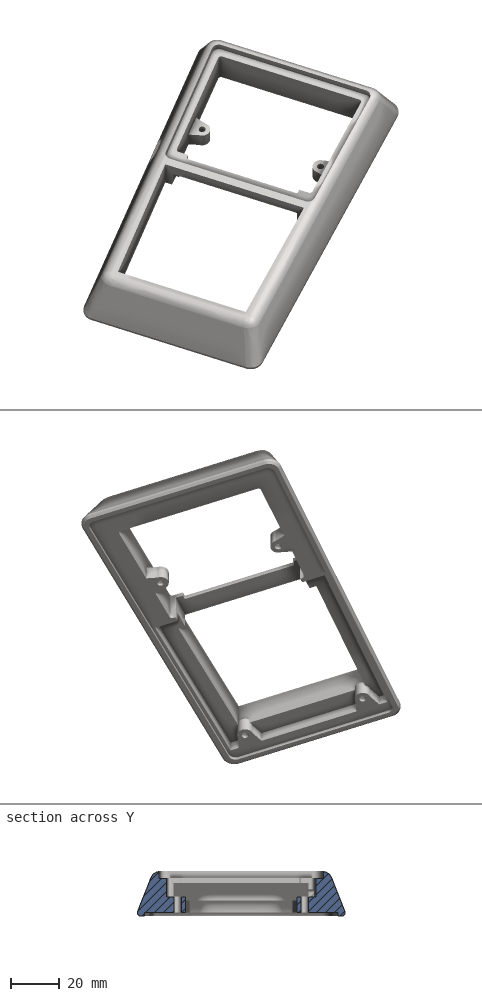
import cadquery as cq

LENGTH = 149.5
HEIGHT = 18.5
HALF_LENGTH = LENGTH / 2
BASE_BACK_HALF_WIDTH = 44.2
BASE_FRONT_HALF_WIDTH = 39.2
LIP_HEIGHT = 2.0
BASE_CHAMFER = 0.9
BASE_CORNER_RADIUS = 5.2

TOP_BACK = 67.5
TOP_FRONT = -65.2
TOP_BACK_HALF_WIDTH = 37.2
TOP_FRONT_HALF_WIDTH = 33.6
TOP_CORNER_RADIUS = 4.5
RIM_RADIUS = 4.5

RECESS_DEPTH = 3.0
RECESS_BACK = 64.7
RECESS_FRONT = 2.2
RECESS_BACK_HALF_WIDTH = 35.0
RECESS_FRONT_HALF_WIDTH = 32.7
RECESS_CORNER_RADIUS = 3.0
WINDOW_BACK = 61.5
WINDOW_FRONT = 9.0
WINDOW_BACK_HALF_WIDTH = 31.5
WINDOW_FRONT_HALF_WIDTH = 29.9
WINDOW_CORNER_RADIUS = 1.2
STEP_HALF_WIDTH = 24.5
STEP_FRONT = 6.9
STEP_CORNER_RADIUS = 0.7

FRONT_WINDOW_BACK = -1.2
FRONT_WINDOW_FRONT = -60.1
FRONT_WINDOW_BACK_HALF_WIDTH = 30.6
FRONT_WINDOW_FRONT_HALF_WIDTH = 28.2

COVER_DEPTH = 1.5
COVER_INSET = 3.0
COVER_CORNER_RADIUS = 3.0
CAVITY_ROOF = 6.3
CAVITY_FRONT = -67.3
CAVITY_BACK_HALF_WIDTH = 37.7
CAVITY_FRONT_HALF_WIDTH = 34.8
PASSAGE_HALF_WIDTH = 27.7
PASSAGE_ROOF = 13.6
PASSAGE_BACK = 10.2

LUG_X = 26.2
BACK_LUG_Y = 28.7
FRONT_LUG_Y = -61.9
LUG_RADIUS = 3.3
LUG_HOLE_DIAMETER = 2.8
LUG_TOP = 8.0
LUG_ROOT_HALF_WIDTH = 5.4
BACK_LUG_REACH = 6.7
FRONT_LUG_REACH = 6.3

SLOT_BACK = 20.5
SLOT_FRONT = 7.5
SLOT_BOTTOM = 3.3
SLOT_TOP = 10.9
SLOT_CORNER_RADIUS = 1.3
SLOT_END_X = -32.1
WIRE_HOLE_BACK = 12.0
WIRE_HOLE_BOTTOM = 8.0
WIRE_HOLE_END_X = -26.9


def trapezoid(front, back, front_half_width, back_half_width, bottom, top):
    """Upright prism with a symmetric four-sided plan."""
    corners = [
        (-front_half_width, front),
        (front_half_width, front),
        (back_half_width, back),
        (-back_half_width, back),
    ]
    return cq.Workplane("XY").workplane(offset=bottom).polyline(corners).close().extrude(top - bottom)


def rounded_outline(front, back, front_half_width, back_half_width, radius, level):
    """Closed wire of a symmetric four-sided plan with rounded corners."""
    prism = trapezoid(front, back, front_half_width, back_half_width, level, level + 1.5)
    return prism.edges("|Z").fillet(radius).faces("<Z").wires().val()


def make_body():
    base = trapezoid(-HALF_LENGTH, HALF_LENGTH, BASE_FRONT_HALF_WIDTH, BASE_BACK_HALF_WIDTH, 0, LIP_HEIGHT)
    base = base.edges("|Z").fillet(BASE_CORNER_RADIUS).faces("<Z").chamfer(BASE_CHAMFER)
    lower = rounded_outline(
        -HALF_LENGTH, HALF_LENGTH, BASE_FRONT_HALF_WIDTH, BASE_BACK_HALF_WIDTH, BASE_CORNER_RADIUS, LIP_HEIGHT
    )
    upper = rounded_outline(
        TOP_FRONT, TOP_BACK, TOP_FRONT_HALF_WIDTH, TOP_BACK_HALF_WIDTH, TOP_CORNER_RADIUS, HEIGHT
    )
    slope = cq.Workplane(cq.Solid.makeLoft([lower, upper], True))
    return base.union(slope.faces(">Z").edges().fillet(RIM_RADIUS))


def make_display_cut():
    recess = trapezoid(
        RECESS_FRONT, RECESS_BACK, RECESS_FRONT_HALF_WIDTH, RECESS_BACK_HALF_WIDTH, HEIGHT - RECESS_DEPTH, HEIGHT
    ).edges("|Z").fillet(RECESS_CORNER_RADIUS)
    window = trapezoid(
        WINDOW_FRONT, WINDOW_BACK, WINDOW_FRONT_HALF_WIDTH, WINDOW_BACK_HALF_WIDTH, 0, HEIGHT
    ).edges("|Z").fillet(WINDOW_CORNER_RADIUS)
    step = trapezoid(
        STEP_FRONT, WINDOW_BACK - WINDOW_CORNER_RADIUS, STEP_HALF_WIDTH, STEP_HALF_WIDTH, 0, HEIGHT
    ).edges("|Z and <Y").fillet(STEP_CORNER_RADIUS)
    return recess.union(window).union(step)


def make_front_window():
    return trapezoid(
        FRONT_WINDOW_FRONT, FRONT_WINDOW_BACK, FRONT_WINDOW_FRONT_HALF_WIDTH, FRONT_WINDOW_BACK_HALF_WIDTH,
        0, HEIGHT,
    )


def make_underside_cut():
    cover = trapezoid(
        COVER_INSET - HALF_LENGTH, HALF_LENGTH - COVER_INSET,
        BASE_FRONT_HALF_WIDTH - COVER_INSET, BASE_BACK_HALF_WIDTH - COVER_INSET, 0, COVER_DEPTH,
    ).edges("|Z").fillet(COVER_CORNER_RADIUS)
    cavity = trapezoid(
        CAVITY_FRONT, STEP_FRONT, CAVITY_FRONT_HALF_WIDTH, CAVITY_BACK_HALF_WIDTH, 0, CAVITY_ROOF
    )
    passage = trapezoid(
        FRONT_WINDOW_BACK, PASSAGE_BACK, PASSAGE_HALF_WIDTH, PASSAGE_HALF_WIDTH, 0, PASSAGE_ROOF
    )
    return cover.union(cavity).union(passage)


def make_lug(x, y, reach, angle):
    """Drilled lug at (x, y); its flared root points along the given angle from +X."""
    flare = [(0, -LUG_RADIUS), (reach, -LUG_ROOT_HALF_WIDTH), (reach, LUG_ROOT_HALF_WIDTH), (0, LUG_RADIUS)]
    thickness = LUG_TOP - COVER_DEPTH
    lug = cq.Workplane("XY").polyline(flare).close().extrude(thickness)
    lug = lug.union(cq.Workplane("XY").circle(LUG_RADIUS).extrude(thickness))
    lug = lug.faces(">Z").workplane(origin=(0, 0, thickness)).hole(LUG_HOLE_DIAMETER)
    return lug.rotate((0, 0, 0), (0, 0, 1), angle).translate((x, y, COVER_DEPTH))


def make_slot():
    def sideways_bar(end_x):
        return (
            cq.Workplane("YZ", origin=(end_x, 0, 0))
            .center((SLOT_BACK + SLOT_FRONT) / 2, (SLOT_TOP + SLOT_BOTTOM) / 2)
            .rect(SLOT_BACK - SLOT_FRONT, SLOT_TOP - SLOT_BOTTOM)
            .extrude(-BASE_BACK_HALF_WIDTH - end_x)
            .edges("|X")
            .fillet(SLOT_CORNER_RADIUS)
        )

    corner = cq.Workplane("XY").box(
        BASE_BACK_HALF_WIDTH + WIRE_HOLE_END_X,
        WIRE_HOLE_BACK - SLOT_FRONT,
        SLOT_TOP - WIRE_HOLE_BOTTOM,
        centered=False,
    ).translate((-BASE_BACK_HALF_WIDTH, SLOT_FRONT, WIRE_HOLE_BOTTOM))
    wire_hole = sideways_bar(WIRE_HOLE_END_X).intersect(corner)
    return sideways_bar(SLOT_END_X).union(wire_hole)


result = make_body().cut(make_display_cut()).cut(make_front_window())
result = result.cut(make_underside_cut()).cut(make_slot())
for side, wall_angle in ((-1, 180), (1, 0)):
    result = result.union(make_lug(side * LUG_X, BACK_LUG_Y, BACK_LUG_REACH, wall_angle))
    result = result.union(make_lug(side * LUG_X, FRONT_LUG_Y, FRONT_LUG_REACH, -90))